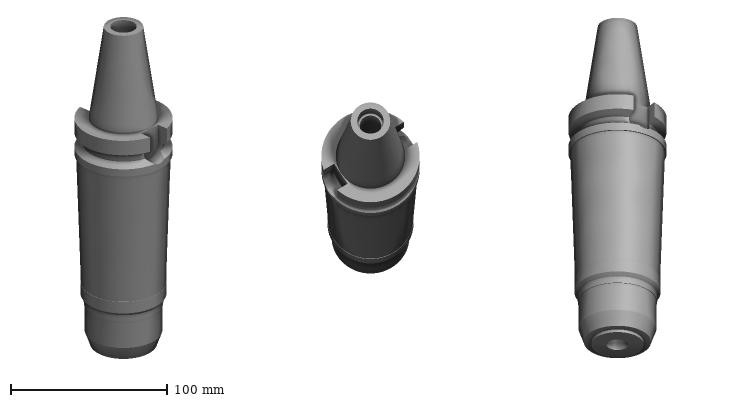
import cadquery as cq


TAPER_RATIO = 7 / 24
GAUGE_DIAMETER = 44.45
SHANK_LENGTH = 65.4
SHANK_END_DIAMETER = GAUGE_DIAMETER - TAPER_RATIO * SHANK_LENGTH

FLANGE_DIAMETER = 63.0
FLANGE_TOP_Z = -1.0
FLANGE_BOTTOM_Z = -27.0
GROOVE_DIAMETER = 53.0
GROOVE_CENTRE_Z = -16.6
GROOVE_FLOOR_WIDTH = 4.2
GROOVE_MOUTH_WIDTH = 10.2

BODY_TOP_DIAMETER = 61.0
BODY_BOTTOM_DIAMETER = 54.8
COLLAR_DIAMETER = 55.3
NECK_DIAMETER = 51.0
NUT_DIAMETER = 50.0
NUT_END_DIAMETER = 43.0
NOSE_DIAMETER = 33.5

NOSE_BOTTOM_Z = -167.0
NOSE_TOP_Z = NOSE_BOTTOM_Z + 2.0
NUT_CONE_TOP_Z = -155.2
NECK_BOTTOM_Z = -135.6
NECK_TOP_Z = -131.0
COLLAR_BOTTOM_Z = -128.6
COLLAR_TOP_Z = -120.2

SLOT_WIDTH = 16.1
SLOT_FLOOR_X = 22.5
SLOT_BOTTOM_Z = -23.0

BORE_DIAMETER = 14.0
COUNTERBORE_DIAMETER = 17.0
COUNTERBORE_DEPTH = 9.0


def make_turned_body():
    """Revolve the half outline, listed as (diameter, z) from the top down."""
    half_floor = GROOVE_FLOOR_WIDTH / 2
    half_mouth = GROOVE_MOUTH_WIDTH / 2
    outline = [
        (0, SHANK_LENGTH),
        (SHANK_END_DIAMETER, SHANK_LENGTH),
        (GAUGE_DIAMETER, 0),
        (GAUGE_DIAMETER, FLANGE_TOP_Z),
        (FLANGE_DIAMETER, FLANGE_TOP_Z),
        (FLANGE_DIAMETER, GROOVE_CENTRE_Z + half_mouth),
        (GROOVE_DIAMETER, GROOVE_CENTRE_Z + half_floor),
        (GROOVE_DIAMETER, GROOVE_CENTRE_Z - half_floor),
        (FLANGE_DIAMETER, GROOVE_CENTRE_Z - half_mouth),
        (FLANGE_DIAMETER, FLANGE_BOTTOM_Z),
        (BODY_TOP_DIAMETER, FLANGE_BOTTOM_Z),
        (BODY_BOTTOM_DIAMETER, COLLAR_TOP_Z),
        (COLLAR_DIAMETER, COLLAR_TOP_Z),
        (COLLAR_DIAMETER, COLLAR_BOTTOM_Z),
        (NECK_DIAMETER, NECK_TOP_Z),
        (NECK_DIAMETER, NECK_BOTTOM_Z),
        (NUT_DIAMETER, NECK_BOTTOM_Z),
        (NUT_DIAMETER, NUT_CONE_TOP_Z),
        (NUT_END_DIAMETER, NOSE_TOP_Z),
        (NOSE_DIAMETER, NOSE_TOP_Z),
        (NOSE_DIAMETER, NOSE_BOTTOM_Z),
        (0, NOSE_BOTTOM_Z),
    ]
    points = [(-diameter / 2, z) for diameter, z in outline]
    return cq.Workplane("YZ").polyline(points).close().revolve(360, (0, 0), (0, 1))


def make_drive_slot(side):
    """Round-bottomed slot cutter; side is +1 for +X and -1 for -X."""
    radius = SLOT_WIDTH / 2
    arc_centre_z = SLOT_BOTTOM_Z + radius
    slot_depth = FLANGE_DIAMETER / 2 - SLOT_FLOOR_X
    return (
        cq.Workplane("YZ", origin=(side * SLOT_FLOOR_X, 0, 0))
        .moveTo(-radius, FLANGE_TOP_Z)
        .lineTo(-radius, arc_centre_z)
        .threePointArc((0, SLOT_BOTTOM_Z), (radius, arc_centre_z))
        .lineTo(radius, FLANGE_TOP_Z)
        .close()
        .extrude(side * slot_depth)
    )


def make_bore():
    """Through bore with a counterbore in the end of the shank."""
    bore = (
        cq.Workplane("XY", origin=(0, 0, NOSE_BOTTOM_Z))
        .circle(BORE_DIAMETER / 2)
        .extrude(SHANK_LENGTH - NOSE_BOTTOM_Z)
    )
    counterbore = (
        cq.Workplane("XY", origin=(0, 0, SHANK_LENGTH))
        .circle(COUNTERBORE_DIAMETER / 2)
        .extrude(-COUNTERBORE_DEPTH)
    )
    return bore.union(counterbore)


result = make_turned_body()
for slot_side in (1, -1):
    result = result.cut(make_drive_slot(slot_side))
result = result.cut(make_bore())